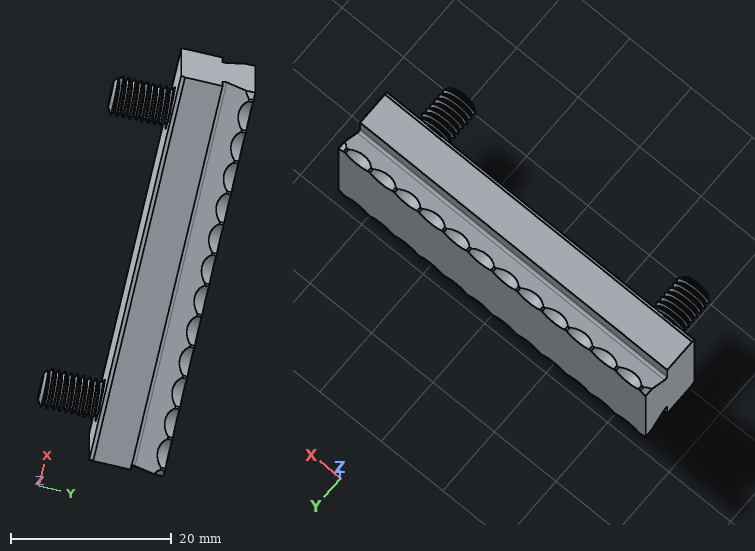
import cadquery as cq
import math

block_length = 50.0
block_depth = 9.5
block_height = 19.05
front_chamfer = 0.5

flange_depth = 5.3
back_land_width = 0.6
groove_root_radius = 0.3
groove_width = block_depth - flange_depth - back_land_width
groove_height = groove_width

scallop_pitch = 4.0
scallop_count = 14
scallop_radius = 2.5
scallop_gap = 0.3
scallop_half_chord = (scallop_pitch - scallop_gap) / 2
scallop_axis_rise = math.sqrt(scallop_radius**2 - scallop_half_chord**2)

stud_spacing = 38.1
stud_positions = [side * stud_spacing / 2 for side in (-1, 1)]
stud_hole_diameter = 5.3
stud_projection = 7.6
stud_length = 12.0
stud_hole_depth = stud_length - stud_projection
stud_diameter = 5.0
stud_tip_diameter = 3.4
stud_tip_length = 0.6
thread_pitch = 0.8
thread_phase = 0.225
thread_half_angle = math.radians(30)
thread_crest = thread_pitch / 8
thread_ridge_base = 0.75 * thread_pitch
thread_height = (thread_ridge_base - thread_crest) / 2 / math.tan(thread_half_angle)
thread_overlap = 0.05
envelope_margin = 0.05
stud_radius = stud_diameter / 2
root_radius = stud_radius - thread_height


def make_groove(side):
    """V groove cutter for the top (side = 1) or bottom (side = -1) of the block."""
    edge_z = side * block_height / 2
    cutter = (
        cq.Workplane("YZ", origin=(-block_length / 2, 0, 0))
        .moveTo(flange_depth, edge_z + side * groove_height)
        .lineTo(flange_depth, edge_z - side * groove_height)
        .lineTo(flange_depth + 2 * groove_width, edge_z + side * groove_height)
        .close()
        .extrude(block_length)
    )
    root_point = (0, flange_depth, edge_z - side * groove_height)
    return cutter.edges(cq.NearestToPointSelector(root_point)).fillet(groove_root_radius)


def cut_scallops(block, side):
    """Bite a row of round scallops, parallel to Y, into the back lip on one side."""
    first_x = -(scallop_count - 1) * scallop_pitch / 2
    axis_z = side * (block_height / 2 + scallop_axis_rise)
    for i in range(scallop_count):
        cutter = (
            cq.Workplane("XZ", origin=(first_x + i * scallop_pitch, block_depth, axis_z))
            .circle(scallop_radius)
            .extrude(block_depth - flange_depth)
        )
        block = block.cut(cutter)
    return block


def make_block():
    """Jaw block with chamfered front edges, grooves, scallops and blind stud holes."""
    block = (
        cq.Workplane("XY")
        .box(block_length, block_depth, block_height, centered=(True, False, True))
        .faces("<Y")
        .edges("|X")
        .chamfer(front_chamfer)
    )
    for side in (1, -1):
        block = cut_scallops(block.cut(make_groove(side)), side)
    stud_holes = (
        cq.Workplane("XZ", origin=(0, stud_hole_depth, 0))
        .pushPoints([(x, 0) for x in stud_positions])
        .circle(stud_hole_diameter / 2)
        .extrude(stud_hole_depth)
    )
    return block.cut(stud_holes)


def make_thread_ridge():
    """Right-handed helical ridge around Z, running past both ends of the stud."""
    turns_behind_face = math.ceil(stud_hole_depth / thread_pitch) + 1
    turns_before_face = math.ceil(stud_projection / thread_pitch) + 1
    start_z = thread_phase - turns_behind_face * thread_pitch
    helix_height = (turns_behind_face + turns_before_face) * thread_pitch
    helix = cq.Wire.makeHelix(thread_pitch, helix_height, root_radius)
    helix = helix.translate(cq.Vector(0, 0, start_z))
    inner_radius = root_radius - thread_overlap
    inner_half_width = thread_ridge_base / 2 + thread_overlap * math.tan(thread_half_angle)
    profile = (
        cq.Workplane("XZ")
        .moveTo(inner_radius, start_z - inner_half_width)
        .lineTo(stud_radius, start_z - thread_crest / 2)
        .lineTo(stud_radius, start_z + thread_crest / 2)
        .lineTo(inner_radius, start_z + inner_half_width)
        .close()
    )
    return profile.sweep(cq.Workplane(obj=helix), isFrenet=True)


def make_stud():
    """Threaded stud with a chamfered tip, along -Y and centred on X = 0, Z = 0."""
    outer_radius = stud_radius + envelope_margin
    envelope = (
        cq.Workplane("XZ")
        .moveTo(0, -stud_hole_depth)
        .lineTo(outer_radius, -stud_hole_depth)
        .lineTo(outer_radius, stud_projection - stud_tip_length)
        .lineTo(stud_tip_diameter / 2, stud_projection)
        .lineTo(0, stud_projection)
        .close()
        .revolve(360, (0, 0, 0), (0, 1, 0))
    )
    core = (
        cq.Workplane("XY", origin=(0, 0, -stud_hole_depth))
        .circle(root_radius)
        .extrude(stud_length)
    )
    stud = core.intersect(envelope).union(make_thread_ridge().intersect(envelope))
    return stud.rotate((0, 0, 0), (1, 0, 0), 90)


block = make_block()
stud = make_stud()
studs = [stud.translate((x, 0, 0)).solids().val() for x in stud_positions]

result = cq.Compound.makeCompound([block.solids().val(), *studs])